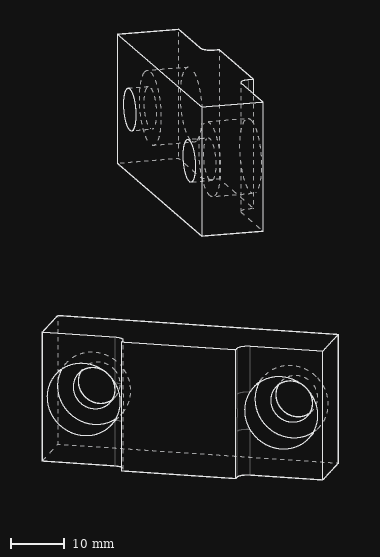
import cadquery as cq

length = 54.0
depth = 15.0
height = 25.0

base_depth = 12.0
pad_width = 22.0
fillet_radius = 2.0

hole_diameter = 8.0
hole_spacing = 38.0
counterbore_diameter = 14.05
counterbore_floor = 4.0

selection_margin = 0.55


def cylinder_along_y(x, diameter, y_start, y_end):
    """Cylinder along +Y, centred at x and at mid height."""
    plane = cq.Plane(origin=(x, y_start, height / 2), xDir=(0, 0, -1), normal=(0, 1, 0))
    return cq.Workplane(plane).circle(diameter / 2).extrude(y_end - y_start)


base = cq.Workplane("XY").box(length, base_depth, height, centered=(True, False, False))
pad = cq.Workplane("XY").box(pad_width, depth, height, centered=(True, False, False))
body = base.union(pad)

for x in (-hole_spacing / 2, hole_spacing / 2):
    body = body.cut(cylinder_along_y(x, hole_diameter, 0, base_depth))
    body = body.cut(cylinder_along_y(x, counterbore_diameter, counterbore_floor, base_depth))

inner_corners = cq.selectors.BoxSelector(
    (-pad_width / 2 - selection_margin, base_depth - selection_margin, 0),
    (pad_width / 2 + selection_margin, base_depth + selection_margin, height),
)
result = body.edges("|Z").edges(inner_corners).fillet(fillet_radius)